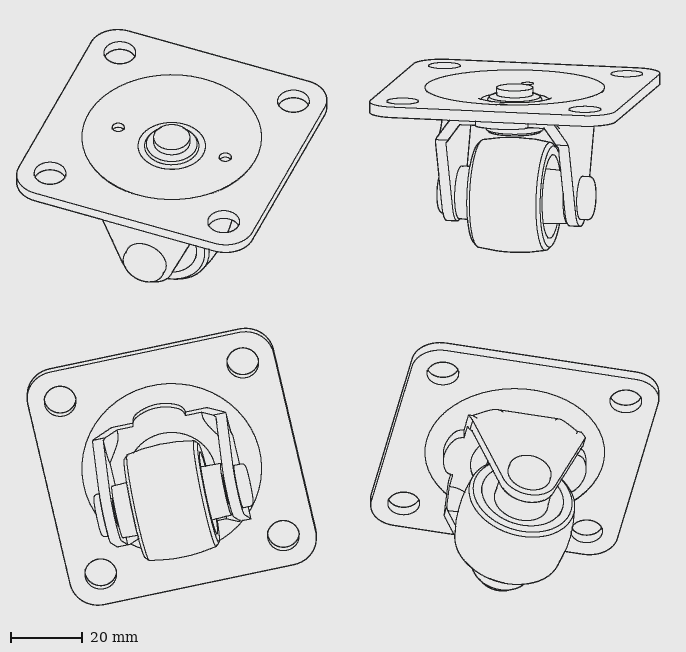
import cadquery as cq
import math


overall_height = 46.5

sheet = 3.0

plate_side = 70.0
plate_corner_radius = 8.0
mount_hole_spacing = 52.0
mount_hole_diameter = 8.8
dish_radius = 25.0
dish_floor_radius = 22.2
dish_depth = 1.95
locating_hole_offset = 16.0
locating_hole_diameter = 3.35
locating_hole_depth = 1.6

groove_outer_radius = 12.25
groove_edge_radius = 3.5
groove_edge_width = 2.4
groove_chamfer = 0.5
groove_inner_edge_width = 2.0

pin_radius = 5.05
pin_head_radius = 8.0
pin_head_height = 3.0
pin_head_chamfer = 0.6

fork_half_width = 16.0
fork_half_span = 19.05
leg_end_radius = 8.0
leg_straight_depth = 12.5
tab_tip = 20.0
tab_half_width = 7.5
tab_tip_radius = 12.25
tab_corner_radius = 3.0
boss_radius = 12.3
boss_height = 1.3
boss_edge_radius = 1.25
bend_radius = 3.0
dart_run = 5.45
dart_drop = 7.5
dart_cone_x = 14.9
dart_rim_radius = 3.0

wheel_radius = 16.0
tread_edge_radius = 15.05
wheel_width = 20.9
wheel_edge_chamfer = 1.0
wheel_recess_radius = 11.6
wheel_recess_depth = 2.0
wheel_recess_fillet = 1.55
hub_base_radius = 7.6
hub_end_radius = 7.35
hub_width = 30.95

axle_radius = 4.0
axle_head_radius = 6.0
axle_head_fillet = 1.05
front_head_height = 3.0
rear_head_height = 2.0

dish_bottom = -(sheet + dish_depth)
fork_top = dish_bottom
fork_bottom = fork_top - sheet
boss_bottom = fork_bottom - boss_height
axle_z = wheel_radius - overall_height
leg_inner = fork_half_span - sheet


def arc_drop(width, radius):
    """Depth an arc falls over a given width when it starts out level."""
    return radius - math.sqrt(radius**2 - width**2)


def make_plate():
    plate = (
        cq.Workplane("XY")
        .rect(plate_side, plate_side)
        .extrude(-sheet)
        .edges("|Z")
        .fillet(plate_corner_radius)
    )
    plate = (
        plate.faces(">Z")
        .workplane()
        .rect(mount_hole_spacing, mount_hole_spacing, forConstruction=True)
        .vertices()
        .hole(mount_hole_diameter)
    )
    dish_underside = dish_solid(-sheet)
    dish_recess = dish_solid(0)
    pin_hole = cq.Workplane("XY").circle(pin_radius).extrude(dish_bottom)
    locating_holes = (
        cq.Workplane("XY", origin=(0, 0, -dish_depth))
        .pushPoints([(-locating_hole_offset, 0), (locating_hole_offset, 0)])
        .circle(locating_hole_diameter / 2)
        .extrude(-locating_hole_depth)
    )
    return (
        plate.union(dish_underside)
        .cut(dish_recess)
        .cut(pin_groove())
        .cut(pin_hole)
        .cut(locating_holes)
    )


def dish_solid(rim_z):
    """Shallow bowl whose rounded wall runs from the rim to a level floor."""
    run = dish_radius - dish_floor_radius
    wall_radius = (run**2 + dish_depth**2) / (2 * dish_depth)
    half_angle = math.asin(run / wall_radius) / 2
    middle = (
        dish_floor_radius + wall_radius * math.sin(half_angle),
        rim_z - dish_depth + wall_radius * (1 - math.cos(half_angle)),
    )
    return (
        cq.Workplane("XZ")
        .moveTo(0, rim_z)
        .lineTo(dish_radius, rim_z)
        .threePointArc(middle, (dish_floor_radius, rim_z - dish_depth))
        .lineTo(0, rim_z - dish_depth)
        .close()
        .revolve(360, (0, 0, 0), (0, 1, 0))
    )


def pin_groove():
    """Ring groove around the king pin, with both upper edges rolled over."""
    top = -dish_depth
    outer_drop = arc_drop(groove_edge_width, groove_edge_radius)
    inner_drop = arc_drop(groove_inner_edge_width, groove_edge_radius)
    outer_mid = groove_edge_width / 2
    inner_mid = groove_inner_edge_width / 2
    outer_foot = groove_outer_radius - groove_edge_width
    inner_foot = pin_radius + groove_inner_edge_width
    floor = top - outer_drop - groove_chamfer
    return (
        cq.Workplane("XZ")
        .moveTo(pin_radius, top)
        .threePointArc(
            (pin_radius + inner_mid, top - arc_drop(inner_mid, groove_edge_radius)),
            (inner_foot, top - inner_drop),
        )
        .lineTo(inner_foot + groove_chamfer, floor)
        .lineTo(outer_foot - groove_chamfer, floor)
        .lineTo(outer_foot, top - outer_drop)
        .threePointArc(
            (groove_outer_radius - outer_mid, top - arc_drop(outer_mid, groove_edge_radius)),
            (groove_outer_radius, top),
        )
        .close()
        .revolve(360, (0, 0, 0), (0, 1, 0))
    )


def make_pin():
    shank = cq.Workplane("XY").circle(pin_radius).extrude(boss_bottom)
    head = (
        cq.Workplane("XY", origin=(0, 0, boss_bottom))
        .circle(pin_head_radius)
        .extrude(-pin_head_height)
        .faces("<Z")
        .chamfer(pin_head_chamfer)
    )
    return shank.union(head)


def leg_outline():
    """Leg outline in X and Z: parallel top, then sides tangent to the round lower end."""
    corner_z = -leg_straight_depth
    rise = corner_z - axle_z
    reach = math.hypot(fork_half_width, rise)
    slope = math.atan2(fork_half_width, rise) - math.asin(leg_end_radius / reach)
    tangent_x = leg_end_radius * math.cos(slope)
    tangent_z = axle_z - leg_end_radius * math.sin(slope)
    return (
        cq.Workplane("XZ", origin=(0, fork_half_span, 0))
        .moveTo(-fork_half_width, fork_top)
        .lineTo(-fork_half_width, corner_z)
        .lineTo(-tangent_x, tangent_z)
        .threePointArc((0, axle_z - leg_end_radius), (tangent_x, tangent_z))
        .lineTo(fork_half_width, corner_z)
        .lineTo(fork_half_width, fork_top)
        .close()
    )


def make_tabs():
    """Strip along X that carries the fork's top past the legs as a rounded tab at each end."""
    corner_x = tab_tip - arc_drop(tab_half_width, tab_tip_radius)
    return (
        cq.Workplane("XY", origin=(0, 0, fork_top))
        .moveTo(-corner_x, -tab_half_width)
        .lineTo(corner_x, -tab_half_width)
        .threePointArc((tab_tip, 0), (corner_x, tab_half_width))
        .lineTo(-corner_x, tab_half_width)
        .threePointArc((-tab_tip, 0), (-corner_x, -tab_half_width))
        .close()
        .extrude(-sheet)
        .edges("|Z")
        .fillet(tab_corner_radius)
    )


def shoulder_dart(end_x, side, inset):
    """Tool for the dart pressed into one fork shoulder: a slanting flat that ends in a cone.

    The inset moves the slanted surface inward from the outer face of the sheet.
    """
    shift = inset * math.hypot(dart_run, dart_drop) / dart_drop
    length = dart_run + shift
    drop = length * dart_drop / dart_run
    apex = (end_x * dart_cone_x, side * (fork_half_span - length), fork_top)
    profile = (
        cq.Workplane("YZ", origin=apex)
        .lineTo(side * length, -drop)
        .lineTo(side * length, 0)
        .close()
    )
    flat = profile.extrude(end_x * (tab_tip - dart_cone_x))
    cone = profile.toPending().revolve(360, (0, 0, 0), (1, 0, 0))
    return flat.union(cone)


def fork_envelope():
    """Outline of both legs carried across the fork, with the bends rounded."""
    return leg_outline().extrude(2 * fork_half_span).edges("|X and >Z").fillet(bend_radius)


def fork_channel():
    """Bent U of sheet with a dart in each shoulder, still wider than the finished legs."""
    depth = fork_top - axle_z + leg_end_radius
    block = (
        cq.Workplane("XY", origin=(0, 0, fork_top))
        .rect(2 * tab_tip, 2 * fork_half_span)
        .extrude(-depth)
    )
    opening = (
        cq.Workplane("XY", origin=(0, 0, fork_bottom))
        .rect(2 * tab_tip, 2 * leg_inner)
        .extrude(sheet - depth)
    )
    channel = block.cut(opening)
    corners = [(end_x, side) for end_x in (-1, 1) for side in (-1, 1)]
    for end_x, side in corners:
        channel = channel.union(shoulder_dart(end_x, side, sheet).intersect(block))
    for end_x, side in corners:
        channel = channel.cut(shoulder_dart(end_x, side, 0))
    for face in ("<Y", ">Y"):
        channel = channel.faces(face).edges("%CIRCLE").fillet(dart_rim_radius)
    return channel


def make_fork():
    fork = fork_channel().intersect(fork_envelope())
    boss = (
        cq.Workplane("XY", origin=(0, 0, fork_bottom))
        .circle(boss_radius)
        .extrude(-boss_height)
        .faces("<Z")
        .edges()
        .fillet(boss_edge_radius)
    )
    pin_hole = (
        cq.Workplane("XY", origin=(0, 0, fork_top))
        .circle(pin_radius)
        .extrude(boss_bottom - fork_top)
    )
    axle_hole = (
        cq.Workplane("XZ", origin=(0, fork_half_span, axle_z))
        .circle(axle_radius)
        .extrude(2 * fork_half_span)
    )
    return fork.union(make_tabs()).union(boss).cut(pin_hole).cut(axle_hole)


def make_wheel():
    """Crowned wheel with a recess in each face around a tapered hub."""
    half = wheel_width / 2
    hub_half = hub_width / 2
    floor = half - wheel_recess_depth
    edge = half - wheel_edge_chamfer
    wheel = (
        cq.Workplane("XY")
        .moveTo(axle_radius, -hub_half)
        .lineTo(hub_end_radius, -hub_half)
        .lineTo(hub_base_radius, -floor)
        .lineTo(wheel_recess_radius - wheel_recess_fillet, -floor)
        .radiusArc((wheel_recess_radius, -floor - wheel_recess_fillet), wheel_recess_fillet)
        .lineTo(wheel_recess_radius, -half)
        .lineTo(tread_edge_radius - wheel_edge_chamfer, -half)
        .lineTo(tread_edge_radius, -edge)
        .threePointArc((wheel_radius, 0), (tread_edge_radius, edge))
        .lineTo(tread_edge_radius - wheel_edge_chamfer, half)
        .lineTo(wheel_recess_radius, half)
        .lineTo(wheel_recess_radius, floor + wheel_recess_fillet)
        .radiusArc((wheel_recess_radius - wheel_recess_fillet, floor), wheel_recess_fillet)
        .lineTo(hub_base_radius, floor)
        .lineTo(hub_end_radius, hub_half)
        .lineTo(axle_radius, hub_half)
        .close()
        .revolve(360, (0, 0, 0), (0, 1, 0))
    )
    return wheel.translate((0, 0, axle_z))


def make_axle():
    shaft = (
        cq.Workplane("XZ", origin=(0, fork_half_span, axle_z))
        .circle(axle_radius)
        .extrude(2 * fork_half_span)
    )
    for side, height in ((-1, front_head_height), (1, rear_head_height)):
        head = (
            cq.Workplane("XZ", origin=(0, side * fork_half_span, axle_z))
            .circle(axle_head_radius)
            .extrude(-side * height)
            .faces(">Y" if side > 0 else "<Y")
            .edges()
            .fillet(axle_head_fillet)
        )
        shaft = shaft.union(head)
    return shaft


plate = make_plate()
fork = make_fork()
pin = make_pin()
wheel = make_wheel()
axle = make_axle()

result = cq.Compound.makeCompound([plate.val(), fork.val(), pin.val(), wheel.val(), axle.val()])